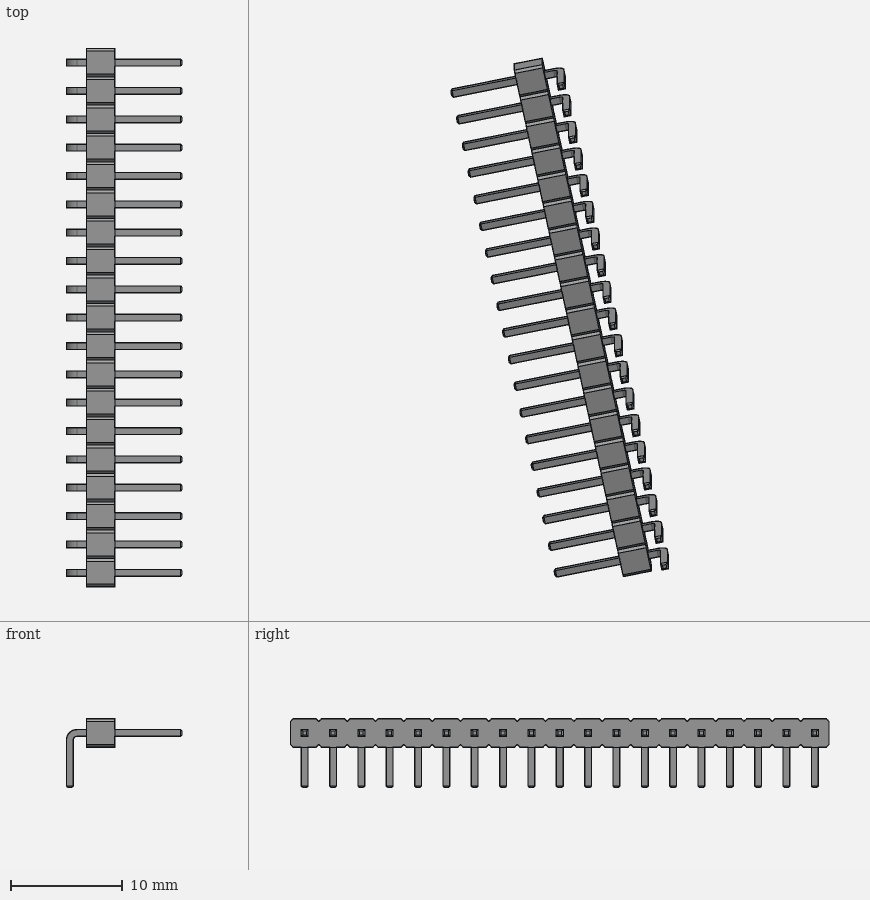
import cadquery as cq

pin_count = 19
row_length = 48.25
pitch = row_length / pin_count

housing_size = 2.55
notch_chamfer = 0.25

pin_width = 0.65
bend_radius = 0.65
tip_length = 0.15
tip_inset = 0.15
overall_x = 10.4
overall_z = 6.2
tail_to_housing = 1.8

tail_x = pin_width / 2
bottom_z = housing_size / 2 - overall_z


def housing_block(y):
    """One housing block, its four edges along X chamfered to form the notches."""
    block = cq.Workplane("XY").box(housing_size, pitch, housing_size)
    block = block.edges("|X").chamfer(notch_chamfer)
    return block.translate((tail_to_housing + housing_size / 2, y, 0))


def tapered_tip(base_plane):
    """A truncated square pyramid on the end of the pin."""
    end_width = pin_width - 2 * tip_inset
    return (
        cq.Workplane(base_plane)
        .rect(pin_width, pin_width)
        .workplane(offset=tip_length)
        .rect(end_width, end_width)
        .loft(ruled=True)
    )


def bent_pin():
    """A square pin: tail pointing down, rounded bend, contact pointing along +X."""
    tail_base_z = bottom_z + tip_length
    contact_base_x = overall_x - tip_length
    path = (
        cq.Workplane("XZ")
        .moveTo(tail_x, tail_base_z)
        .lineTo(tail_x, -bend_radius)
        .radiusArc((tail_x + bend_radius, 0), bend_radius)
        .lineTo(contact_base_x, 0)
    )
    wire = (
        cq.Workplane("XY", origin=(tail_x, 0, tail_base_z))
        .rect(pin_width, pin_width)
        .sweep(path)
    )
    tail_plane = cq.Plane(origin=(tail_x, 0, tail_base_z), xDir=(1, 0, 0), normal=(0, 0, -1))
    contact_plane = cq.Plane(origin=(contact_base_x, 0, 0), xDir=(0, 1, 0), normal=(1, 0, 0))
    return wire.union(tapered_tip(tail_plane)).union(tapered_tip(contact_plane))


pin = bent_pin()
positions = [(i - (pin_count - 1) / 2) * pitch for i in range(pin_count)]

result = housing_block(positions[0])
for y in positions[1:]:
    result = result.union(housing_block(y))
for y in positions:
    result = result.union(pin.translate((0, y, 0)))